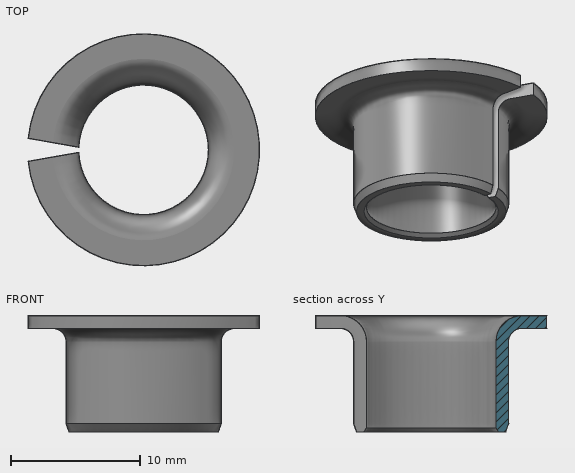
import cadquery as cq
import math

flange_radius = 8.97
bore_radius = 5.0
wall = 1.0
height = 9.0
outer_bend_radius = 1.0
chamfer_height = 0.65
chamfer_angle = 20.0
bore_chamfer_height = 0.32
bore_chamfer_angle = 30.0
slit_angle = 20.0
slit_apex_x = -3.91

sleeve_radius = bore_radius + wall
inner_bend_radius = outer_bend_radius + wall
bend_center_r = sleeve_radius + outer_bend_radius
bend_center_z = height - inner_bend_radius
chamfer_width = chamfer_height * math.tan(math.radians(chamfer_angle))
bore_chamfer_width = bore_chamfer_height * math.tan(math.radians(bore_chamfer_angle))
diagonal = math.sqrt(0.5)


def bend_midpoint(radius):
    """Middle of the quarter bend between sleeve and flange."""
    return (bend_center_r - radius * diagonal, bend_center_z + radius * diagonal)


def flanged_sleeve():
    """Revolve the half section (radius, height) about the Z axis."""
    return (
        cq.Workplane("XZ")
        .moveTo(bore_radius + bore_chamfer_width, 0)
        .lineTo(sleeve_radius - chamfer_width, 0)
        .lineTo(sleeve_radius, chamfer_height)
        .lineTo(sleeve_radius, bend_center_z)
        .threePointArc(bend_midpoint(outer_bend_radius), (bend_center_r, height - wall))
        .lineTo(flange_radius, height - wall)
        .lineTo(flange_radius, height)
        .lineTo(bend_center_r, height)
        .threePointArc(bend_midpoint(inner_bend_radius), (bore_radius, bend_center_z))
        .lineTo(bore_radius, bore_chamfer_height)
        .close()
        .revolve(360, (0, 0, 0), (0, 1, 0))
        .rotate((0, 0, 0), (0, 0, 1), 180)
    )


def slit_wedge():
    """Full-height wedge that opens toward -X, with its apex inside the bore."""
    mouth_x = -1.2 * flange_radius
    mouth_half_width = (slit_apex_x - mouth_x) * math.tan(math.radians(slit_angle / 2))
    return (
        cq.Workplane("XY")
        .moveTo(slit_apex_x, 0)
        .lineTo(mouth_x, mouth_half_width)
        .lineTo(mouth_x, -mouth_half_width)
        .close()
        .extrude(height)
    )


result = flanged_sleeve().cut(slit_wedge())